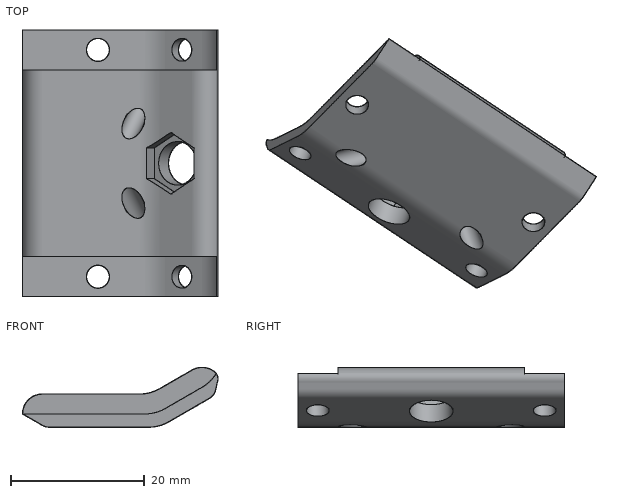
import math

import cadquery as cq

WIDTH = 40.0
THICKNESS = 5.0
BEND_ANGLE = 30.0
BEND_RADIUS = 6.0
TOP_BEND_X = 19.2

FLANGE_LENGTH = 6.0
FLANGE_THICKNESS = 2.0
EDGE_RADIUS = THICKNESS - FLANGE_THICKNESS
HEEL_RADIUS = 2.0

TIP_CENTER_X = 26.9
TIP_SWEEP_RADIUS = 6.0
TIP_NOSE = (29.3, 7.35)
TIP_BACK_TOP = (29.2, 6.65)
TIP_BACK_SLOPE = 78.0
TIP_HEEL_RADIUS = 2.0

SCREW_DIAMETER = 3.4
SCREW_Y = WIDTH / 2 - FLANGE_LENGTH / 2
BASE_SCREW_X = 11.3
ARM_SCREW_X = 23.9

NUT_X = 22.25
NUT_FLATS = 8.0
NUT_DEPTH = 2.0
BOLT_DIAMETER = 6.5

SLANT_DIAMETER = 3.0
SLANT_X = 16.65
SLANT_Y = 5.95
SLANT_ANGLE = 45.0

CUT_REACH = 24.0

bend = math.radians(BEND_ANGLE)
arm_along = (math.cos(bend), math.sin(bend))
arm_normal = (-math.sin(bend), math.cos(bend))


def bend_x(height):
    """X where the base and arm planes lying at a given height meet."""
    return TOP_BEND_X + (THICKNESS - height) * math.tan(bend / 2)


def arm_z(x, height):
    """Z on the arm plane that continues the base plane at a given height."""
    return height + (x - bend_x(height)) * math.tan(bend)


tip_center = (TIP_CENTER_X, arm_z(TIP_CENTER_X, FLANGE_THICKNESS))


def from_tip_center(along, normal):
    """Point offset from the tip centre along the arm and square to it."""
    return (
        tip_center[0] + along * arm_along[0] + normal * arm_normal[0],
        tip_center[1] + along * arm_along[1] + normal * arm_normal[1],
    )


tip_rise = EDGE_RADIUS**2 / (2 * TIP_SWEEP_RADIUS)
tip_corner = from_tip_center(math.sqrt(EDGE_RADIUS**2 - tip_rise**2), tip_rise)
round_mid_angle = (math.pi / 2 + math.asin(tip_rise / EDGE_RADIUS)) / 2
round_mid = from_tip_center(
    EDGE_RADIUS * math.cos(round_mid_angle), EDGE_RADIUS * math.sin(round_mid_angle)
)
sweep_mid_angle = math.asin(tip_rise / EDGE_RADIUS)
sweep_mid = from_tip_center(
    TIP_SWEEP_RADIUS * math.sin(sweep_mid_angle),
    TIP_SWEEP_RADIUS * (1 - math.cos(sweep_mid_angle)),
)


def round_edge(body, point, radius):
    """Fillet the Y-parallel edge passing nearest to an XZ point."""
    selector = cq.NearestToPointSelector((point[0], 0, point[1]))
    return body.edges("|Y").edges(selector).fillet(radius)


def make_plate():
    """Full-thickness bent plate over the whole width."""
    heel = (FLANGE_THICKNESS / math.tan(bend), 0)
    bottom_bend = (bend_x(0), 0)
    top_bend = (bend_x(THICKNESS), THICKNESS)
    back_slope = math.tan(math.radians(TIP_BACK_SLOPE))
    drop = TIP_BACK_TOP[1] - arm_z(TIP_BACK_TOP[0], 0)
    run = drop / (back_slope - math.tan(bend))
    tip_heel = (TIP_BACK_TOP[0] - run, TIP_BACK_TOP[1] - run * back_slope)
    edge_mid = EDGE_RADIUS * (1 - math.sqrt(0.5))
    plate = (
        cq.Workplane("XZ")
        .moveTo(0, FLANGE_THICKNESS)
        .threePointArc((edge_mid, THICKNESS - edge_mid), (EDGE_RADIUS, THICKNESS))
        .lineTo(*top_bend)
        .lineTo(*from_tip_center(0, EDGE_RADIUS))
        .threePointArc(round_mid, tip_corner)
        .threePointArc(TIP_NOSE, TIP_BACK_TOP)
        .lineTo(*tip_heel)
        .lineTo(*bottom_bend)
        .lineTo(*heel)
        .close()
        .extrude(WIDTH / 2, both=True)
    )
    for corner in (top_bend, bottom_bend):
        plate = round_edge(plate, corner, BEND_RADIUS)
    plate = round_edge(plate, heel, HEEL_RADIUS)
    return round_edge(plate, tip_heel, TIP_HEEL_RADIUS)


def make_flange_relief():
    """Material above the flange surface, as long as one flange in Y."""
    flange_bend = (bend_x(FLANGE_THICKNESS), FLANGE_THICKNESS)
    relief = (
        cq.Workplane("XZ")
        .moveTo(0, FLANGE_THICKNESS)
        .lineTo(*flange_bend)
        .lineTo(*tip_center)
        .threePointArc(sweep_mid, tip_corner)
        .lineTo(tip_corner[0], CUT_REACH)
        .lineTo(0, CUT_REACH)
        .close()
        .extrude(FLANGE_LENGTH / 2, both=True)
    )
    return round_edge(relief, flange_bend, BEND_RADIUS)


def arm_plane(x, height):
    """Workplane parallel to the arm at x, with its normal pointing up out of the arm."""
    return cq.Workplane(
        cq.Plane(
            origin=(x, 0, arm_z(x, height)),
            xDir=(arm_along[0], 0, arm_along[1]),
            normal=(arm_normal[0], 0, arm_normal[1]),
        )
    )


def cut_screw_holes(body):
    """One vertical hole and one square to the arm in each flange."""
    positions = [(0, SCREW_Y), (0, -SCREW_Y)]
    for plane in (
        cq.Workplane(origin=(BASE_SCREW_X, 0, FLANGE_THICKNESS)),
        arm_plane(ARM_SCREW_X, FLANGE_THICKNESS),
    ):
        holes = plane.pushPoints(positions).circle(SCREW_DIAMETER / 2)
        body = body.cut(holes.extrude(CUT_REACH, both=True))
    return body


def cut_nut_pocket(body):
    """Hexagonal pocket with corners along Y and a hole through its floor."""
    corners_diameter = NUT_FLATS / math.cos(math.pi / 6)
    plane = arm_plane(NUT_X, THICKNESS)
    pocket = (
        plane.transformed(offset=(0, 0, -NUT_DEPTH), rotate=(0, 0, 90))
        .polygon(6, corners_diameter)
        .extrude(CUT_REACH)
    )
    hole = plane.circle(BOLT_DIAMETER / 2).extrude(-CUT_REACH)
    return body.cut(pocket).cut(hole)


def cut_slanted_holes(body):
    """Two holes square to the arm direction that spread apart downwards."""
    slant = math.radians(SLANT_ANGLE)
    for side in (1, -1):
        direction = (
            arm_normal[0] * math.cos(slant),
            -side * math.sin(slant),
            arm_normal[1] * math.cos(slant),
        )
        plane = cq.Plane(
            origin=(SLANT_X, side * SLANT_Y, THICKNESS),
            xDir=(arm_along[0], 0, arm_along[1]),
            normal=direction,
        )
        hole = cq.Workplane(plane).circle(SLANT_DIAMETER / 2)
        body = body.cut(hole.extrude(CUT_REACH / 2, both=True))
    return body


result = make_plate()
for flange_y in (SCREW_Y, -SCREW_Y):
    result = result.cut(make_flange_relief().translate((0, flange_y, 0)))
result = cut_screw_holes(result)
result = cut_nut_pocket(result)
result = cut_slanted_holes(result)